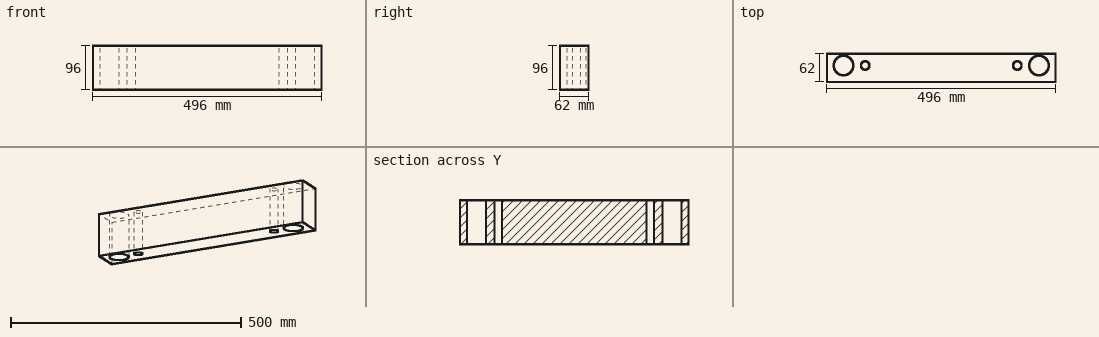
import cadquery as cq

length = 496.0
width = 62.0
height = 96.0

large_hole_diameter = 42.0
large_hole_spacing = 424.0
small_hole_diameter = 18.0
small_hole_spacing = 330.0
hole_row_offset = 5.0


def drill_pair(body, diameter, spacing):
    """Cut two vertical through holes, symmetric about the YZ plane."""
    half_spacing = spacing / 2
    centers = [(-half_spacing, hole_row_offset), (half_spacing, hole_row_offset)]
    return (
        body.faces(">Z")
        .workplane(origin=(0, 0, 0))
        .pushPoints(centers)
        .hole(diameter)
    )


bar = cq.Workplane("XY").box(length, width, height)
bar = drill_pair(bar, large_hole_diameter, large_hole_spacing)
result = drill_pair(bar, small_hole_diameter, small_hole_spacing)